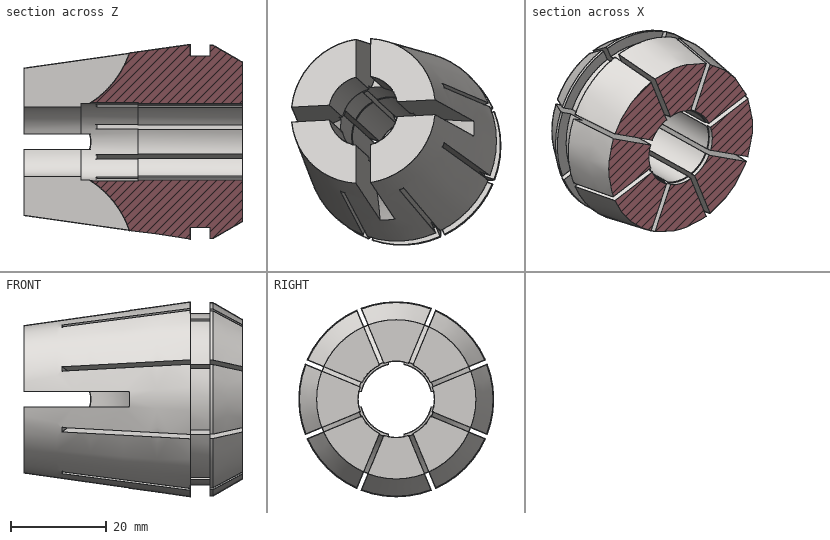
import cadquery as cq
import math

total_length = 46.0
cone_length = 35.0
cone_large_radius = 20.5
cone_half_angle = math.radians(8)
cone_small_radius = cone_large_radius - cone_length * math.tan(cone_half_angle)

groove_end_x = 39.1
groove_radius = 18.05
nose_radius = 20.35
nose_land_length = 0.65
nose_half_angle = math.radians(30)
nose_land_end_x = groove_end_x + nose_land_length
nose_tip_radius = nose_radius - (total_length - nose_land_end_x) * math.tan(nose_half_angle)

rear_bore_radius = 7.5
rear_bore_end_x = 12.0
relief_radius = 8.2
relief_end_x = 24.0
front_bore_radius = 8.0

saw_radius = 20.0
saw_center_radius = 25.0

wide_slot_count = 4
wide_slot_width = 3.2
wide_saw_center_x = 3.2

narrow_slot_count = 8
narrow_slot_width = 1.0
narrow_slot_start_x = 8.0
slot_start_radius = cone_small_radius + narrow_slot_start_x * math.tan(cone_half_angle)
narrow_saw_center_x = narrow_slot_start_x + math.sqrt(
    saw_radius**2 - (saw_center_radius - slot_start_radius) ** 2
)

cut_margin = 1.0


def turned_body():
    """Revolve the outer and bore profile about the X axis."""
    profile = [
        (0, rear_bore_radius),
        (0, cone_small_radius),
        (cone_length, cone_large_radius),
        (cone_length, groove_radius),
        (groove_end_x, groove_radius),
        (groove_end_x, nose_radius),
        (nose_land_end_x, nose_radius),
        (total_length, nose_tip_radius),
        (total_length, front_bore_radius),
        (relief_end_x, front_bore_radius),
        (relief_end_x, relief_radius),
        (rear_bore_end_x, relief_radius),
        (rear_bore_end_x, rear_bore_radius),
    ]
    return cq.Workplane("XY").polyline(profile).close().revolve(360, (0, 0, 0), (1, 0, 0))


def saw_disc(center_x, width):
    """Saw disc in the XZ plane, its centre on the +Z side of the axis."""
    return (
        cq.Workplane("XZ")
        .center(center_x, saw_center_radius)
        .circle(saw_radius)
        .extrude(width / 2, both=True)
    )


def narrow_slot_cutter():
    """Saw disc fed along the axis until it leaves the nose face."""
    feed_path = cq.Workplane("XY").box(
        total_length - narrow_saw_center_x + cut_margin,
        narrow_slot_width,
        saw_radius,
        centered=(False, True, False),
    )
    feed_path = feed_path.translate((narrow_saw_center_x, 0, saw_center_radius - saw_radius))
    return saw_disc(narrow_saw_center_x, narrow_slot_width).union(feed_path)


def cut_around_axis(body, cutter, count, first_angle):
    """Cut equally spaced copies of the cutter, turned about the X axis."""
    for index in range(count):
        angle = first_angle + index * 360 / count
        body = body.cut(cutter.rotate((0, 0, 0), (1, 0, 0), angle))
    return body


result = turned_body()
result = cut_around_axis(result, saw_disc(wide_saw_center_x, wide_slot_width), wide_slot_count, 0)
narrow_first_angle = 180 / narrow_slot_count
result = cut_around_axis(result, narrow_slot_cutter(), narrow_slot_count, narrow_first_angle)